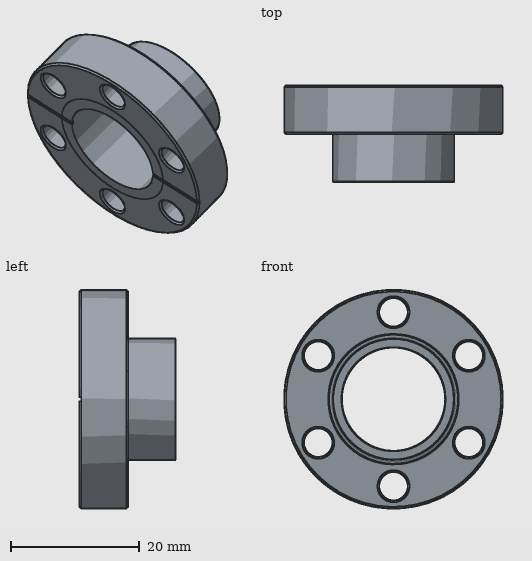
import cadquery as cq


ring_diameter = 34.0
ring_thickness = 7.6
ring_edge_chamfer = 0.3
ring_bore_diameter = 20.0
ring_bore_chamfer = 0.15

bolt_count = 6
bolt_circle_diameter = 27.0
bolt_hole_diameter = 4.4
bolt_hole_chamfer = 0.3
first_bolt_angle = 90.0

insert_length = 15.0
tube_diameter = 18.9
tube_bore_diameter = 16.0
tube_end_chamfer = 0.1
hub_recess_depth = 1.6
hub_length = ring_thickness - hub_recess_depth
root_fillet = 0.2

groove_width = 0.6
groove_depth = 0.3


def cylinder_along_axis(diameter, length):
    """Cylinder about the common axis, from the rear face toward -Y."""
    return cq.Workplane("XZ").circle(diameter / 2).extrude(length)


def cut_leak_groove(body):
    """Cut the straight groove that crosses the rear face along X."""
    groove = cq.Workplane("XY").box(
        ring_diameter, groove_depth, groove_width, centered=(True, False, True)
    )
    return body.cut(groove.translate((0, -groove_depth, 0)))


def make_bolt_hole_cutter():
    """Through-hole shape with a chamfered rim at each ring face, on the common axis."""
    hole_radius = bolt_hole_diameter / 2
    rim_radius = hole_radius + bolt_hole_chamfer
    profile = [
        (0, 0),
        (rim_radius, 0),
        (hole_radius, -bolt_hole_chamfer),
        (hole_radius, bolt_hole_chamfer - ring_thickness),
        (rim_radius, -ring_thickness),
        (0, -ring_thickness),
    ]
    return cq.Workplane("XY").polyline(profile).close().revolve(360, (0, 0), (0, 1))


def make_flange_ring():
    """Bolt ring with chamfered rims, a plain bore and a circle of bolt holes."""
    ring = cylinder_along_axis(ring_diameter, ring_thickness)
    ring = ring.faces("<Y or >Y").chamfer(ring_edge_chamfer)

    ring = ring.cut(cylinder_along_axis(ring_bore_diameter, ring_thickness))
    bore_rim = cq.selectors.RadiusNthSelector(0)
    ring = ring.faces("<Y").edges(bore_rim).chamfer(ring_bore_chamfer)

    bolt_hole = make_bolt_hole_cutter().translate((bolt_circle_diameter / 2, 0, 0))
    for index in range(bolt_count):
        angle = first_bolt_angle + index * 360.0 / bolt_count
        ring = ring.cut(bolt_hole.rotate((0, 0, 0), (0, 1, 0), angle))
    return cut_leak_groove(ring)


def make_tube_insert():
    """Bored tube with a wider hub seated in the ring bore."""
    hub = cylinder_along_axis(ring_bore_diameter, hub_length)
    insert = hub.union(cylinder_along_axis(tube_diameter, insert_length))

    shoulder_position = (0, -hub_length, 0)
    shoulder = cq.selectors.NearestToPointSelector(shoulder_position)
    root_edge = cq.selectors.RadiusNthSelector(0)
    insert = insert.faces(shoulder).edges(root_edge).fillet(root_fillet)

    insert = insert.cut(cylinder_along_axis(tube_bore_diameter, insert_length))
    insert = insert.faces("<Y").chamfer(tube_end_chamfer)
    return cut_leak_groove(insert)


flange_ring = make_flange_ring()
tube_insert = make_tube_insert()

result = cq.Compound.makeCompound([flange_ring.val(), tube_insert.val()])